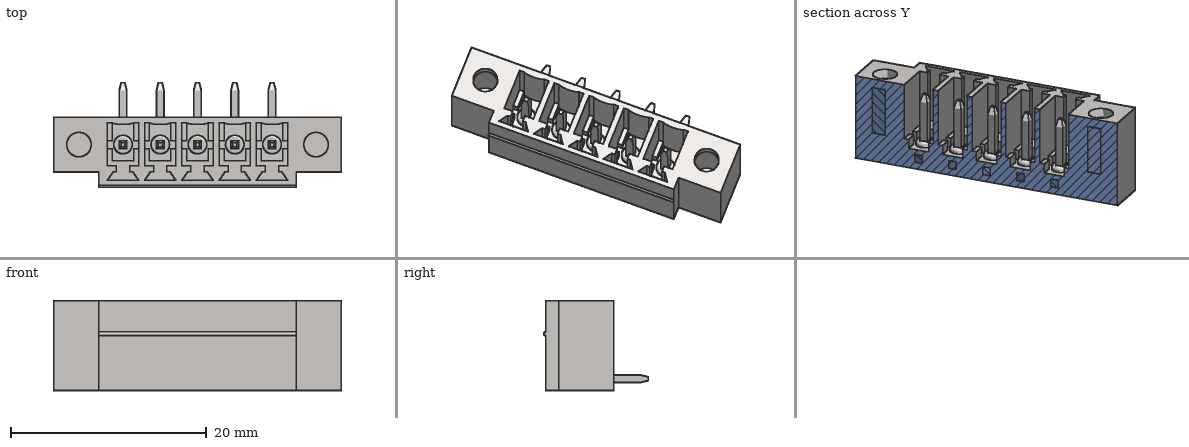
import cadquery as cq


total_width = 29.44
body_width = 20.24
height = 9.2
flange_depth = 5.62
body_depth = 6.98
back_y = flange_depth / 2
front_y = back_y - body_depth

bead_radius = 0.2
bead_z = 5.8

pin_count = 5
pitch = 3.81
pin_positions = [(i - (pin_count - 1) / 2) * pitch for i in range(pin_count)]

pin_size = 0.8
pin_tip_size = 0.4
pin_taper = 0.8
pin_top_z = 7.8
tail_z = 1.2
tail_length = 3.52
tail_end_y = back_y + tail_length

cavity_half_width = 1.6
cavity_back_y = 2.23
cavity_front_y = -2.17
cavity_floor_z = 3.2
bulge_edge_y = 2.2
bulge_peak_y = 2.05

neck_half_width = 0.67
dovetail_back_y = -2.78
dovetail_front_y = -3.66
dovetail_back_half_width = 1.0
dovetail_front_half_width = cavity_half_width

pocket_half_width = 1.1
pocket_front_y = -1.65
pocket_floor_z = 2.2
cross_slot_width = 0.8
collar_diameter = 1.9
collar_rounding = 0.25
collar_height = 0.5
collar_top_z = pocket_floor_z + collar_height

mount_spacing = 24.24
mount_positions = [-mount_spacing / 2, mount_spacing / 2]
bore_diameter = 2.5
sleeve_diameter = 3.5
sleeve_recess = 1.0
sleeve_length = 5.0
sleeve_top_z = height - sleeve_recess
sleeve_bottom_z = sleeve_top_z - sleeve_length


def block(x_range, y_range, z_range):
    """Box between the given limits."""
    size = [high - low for low, high in (x_range, y_range, z_range)]
    corner = (x_range[0], y_range[0], z_range[0])
    return cq.Workplane("XY").box(*size, centered=False).translate(corner)


def cylinder(diameter, bottom_z, top_z):
    """Upright cylinder on the Z axis."""
    return cq.Workplane("XY").workplane(offset=bottom_z).circle(diameter / 2).extrude(top_z - bottom_z)


def make_pin():
    """Right-angle pin on the Z axis: square wire with tapered ends, tail pointing to +Y."""
    half = pin_size / 2
    post_top_z = pin_top_z - pin_taper
    tail_straight_y = tail_end_y - pin_taper
    post = block((-half, half), (-half, half), (tail_z - half, post_top_z))
    tail = block((-half, half), (-half, tail_straight_y), (tail_z - half, tail_z + half))
    post_tip = (
        cq.Workplane("XY", origin=(0, 0, post_top_z))
        .rect(pin_size, pin_size)
        .workplane(offset=pin_taper)
        .rect(pin_tip_size, pin_tip_size)
        .loft(ruled=True)
    )
    tail_tip = (
        cq.Workplane("XZ", origin=(0, tail_straight_y, tail_z))
        .rect(pin_size, pin_size)
        .workplane(offset=-pin_taper)
        .rect(pin_tip_size, pin_tip_size)
        .loft(ruled=True)
    )
    return post.union(tail).union(post_tip).union(tail_tip)


def make_cavity():
    """Space to remove around one pin, leaving the collar that the pin stands in."""
    opening = (
        cq.Workplane("XY", origin=(0, 0, cavity_floor_z))
        .moveTo(-cavity_half_width, cavity_back_y)
        .lineTo(-pocket_half_width, cavity_back_y)
        .lineTo(-pocket_half_width, bulge_edge_y)
        .threePointArc((0, bulge_peak_y), (pocket_half_width, bulge_edge_y))
        .lineTo(pocket_half_width, cavity_back_y)
        .lineTo(cavity_half_width, cavity_back_y)
        .lineTo(cavity_half_width, cavity_front_y)
        .lineTo(neck_half_width, cavity_front_y)
        .lineTo(neck_half_width, dovetail_back_y)
        .lineTo(dovetail_back_half_width, dovetail_back_y)
        .lineTo(dovetail_front_half_width, dovetail_front_y)
        .lineTo(-dovetail_front_half_width, dovetail_front_y)
        .lineTo(-dovetail_back_half_width, dovetail_back_y)
        .lineTo(-neck_half_width, dovetail_back_y)
        .lineTo(-neck_half_width, cavity_front_y)
        .lineTo(-cavity_half_width, cavity_front_y)
        .close()
        .extrude(height - cavity_floor_z)
    )
    pocket_z = (pocket_floor_z, cavity_floor_z)
    pocket = (
        cq.Workplane("XY", origin=(0, 0, pocket_floor_z))
        .moveTo(-pocket_half_width, pocket_front_y)
        .lineTo(-pocket_half_width, bulge_edge_y)
        .threePointArc((0, bulge_peak_y), (pocket_half_width, bulge_edge_y))
        .lineTo(pocket_half_width, pocket_front_y)
        .close()
        .extrude(cavity_floor_z - pocket_floor_z)
    )
    cross_slot = block(
        (-cavity_half_width, cavity_half_width), (-cross_slot_width / 2, cross_slot_width / 2), pocket_z
    )
    collar = cylinder(collar_diameter, pocket_floor_z, collar_top_z).faces(">Z").edges().fillet(collar_rounding)
    return opening.union(pocket).union(cross_slot).cut(collar)


def make_sleeve():
    """Sleeve on the Z axis that carries the mounting bore on from the flange."""
    outside = cylinder(sleeve_diameter, sleeve_bottom_z, sleeve_top_z)
    return outside.cut(cylinder(bore_diameter, sleeve_bottom_z, sleeve_top_z))


def make_mount_hole():
    """Blind stepped hole: the mounting bore, then the wider seat of the sleeve."""
    bore = cylinder(bore_diameter, sleeve_bottom_z, height)
    return bore.union(cylinder(sleeve_diameter, sleeve_bottom_z, sleeve_top_z))


def make_housing():
    """Housing with its bead, cavities, pin passages and mounting holes."""
    half_body = body_width / 2
    half_total = total_width / 2
    flanges = block((-half_total, half_total), (-flange_depth / 2, back_y), (0, height))
    body = block((-half_body, half_body), (front_y, back_y), (0, height))
    bead = (
        cq.Workplane("YZ", origin=(-half_body, front_y, bead_z))
        .circle(bead_radius)
        .extrude(body_width)
    )
    housing = flanges.union(body).union(bead)
    for x in pin_positions:
        housing = housing.cut(make_cavity().translate((x, 0, 0)))
        housing = housing.cut(make_pin().translate((x, 0, 0)))
    for x in mount_positions:
        housing = housing.cut(make_mount_hole().translate((x, 0, 0)))
    return housing


housing = make_housing()
pins = [make_pin().translate((x, 0, 0)) for x in pin_positions]
sleeves = [make_sleeve().translate((x, 0, 0)) for x in mount_positions]

result = cq.Compound.makeCompound(
    [housing.val()] + [pin.val() for pin in pins] + [sleeve.val() for sleeve in sleeves]
)